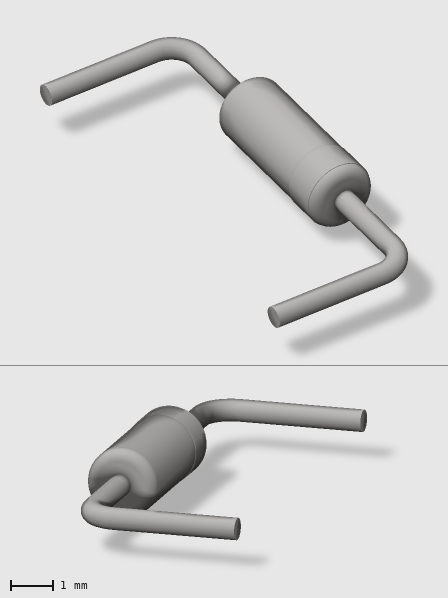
import cadquery as cq

overall_length = 10.53
overall_depth = 4.69

body_length = 4.34
body_diameter = 1.72
body_fillet = 0.25
band_diameter = 1.75
band_width = 0.82

wire_diameter = 0.54
bend_radius = 0.75

leg_x = (overall_length - wire_diameter) / 2
leg_tip_y = band_diameter / 2 - overall_depth
bend_start_x = leg_x - bend_radius
band_end_x = body_length / 2 - body_fillet
band_start_x = band_end_x - band_width


def cylinder_along_x(diameter, start_x, length):
    """Cylinder on the X axis, running toward +X from start_x."""
    return cq.Workplane("YZ", origin=(start_x, 0, 0)).circle(diameter / 2).extrude(length)


def make_body():
    """Rounded cylinder with a bore for the wire."""
    start_x = -body_length / 2
    blank = cylinder_along_x(body_diameter, start_x, body_length).edges().fillet(body_fillet)
    return blank.cut(cylinder_along_x(wire_diameter, start_x, body_length))


def make_band():
    """Thin polarity ring wrapped around the +X end of the body, up to its rounded edge."""
    ring = cylinder_along_x(band_diameter, band_start_x, band_width)
    return ring.cut(cylinder_along_x(body_diameter, band_start_x, band_width))


def make_wire():
    """One round wire through the body, with both ends bent toward -Y."""
    path = (
        cq.Workplane("XY")
        .moveTo(-leg_x, leg_tip_y)
        .lineTo(-leg_x, -bend_radius)
        .tangentArcPoint((-bend_start_x, 0), relative=False)
        .lineTo(bend_start_x, 0)
        .tangentArcPoint((leg_x, -bend_radius), relative=False)
        .lineTo(leg_x, leg_tip_y)
    )
    leg_tip = cq.Workplane("XZ", origin=(-leg_x, leg_tip_y, 0)).circle(wire_diameter / 2)
    return leg_tip.sweep(path)


body = make_body()
band = make_band()
wire = make_wire()

result = cq.Compound.makeCompound([body.val(), band.val(), wire.val()])